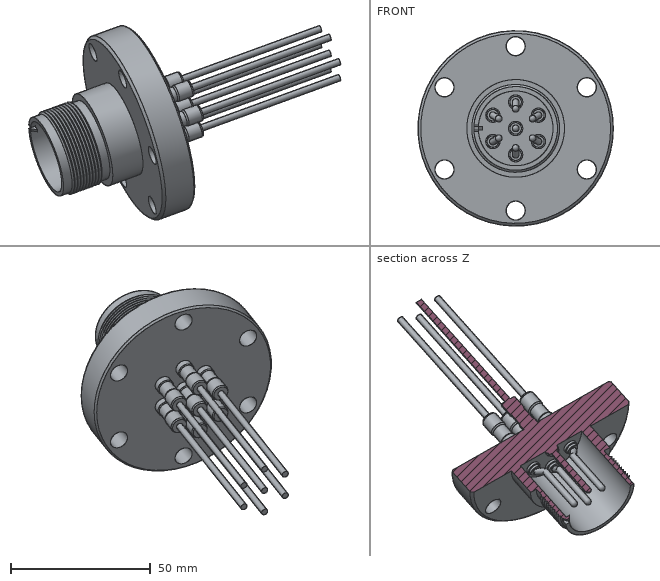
import cadquery as cq
import math


flange_diameter = 69.85
flange_thickness = 12.7
flange_front_chamfer = 1.0
flange_rear_chamfer = 0.7
bolt_circle_diameter = 58.72
bolt_hole_diameter = 6.7
bolt_hole_count = 6

overall_length = 111.51
collar_diameter = flange_diameter / 2
collar_length = 11.85
shell_diameter = 29.9
shell_length = 18.2
bore_diameter = 26.7

thread_diameter = 31.4
thread_pitch = 1.18
thread_ridge_count = 10
thread_end_gap = 3.35

slot_width = 2.3
slot_depth = 2.0
key_width = 1.2
key_inner_radius = 11.9
key_outer_radius = 14.85

outer_contact_count = 6
contact_circle_radius = 9.4
pin_tip_circle_radius = 7.0
pin_diameter = 2.4
pin_tip_recess = 6.2
pin_stub_length = 2.5
pin_bend_angle = 45

sleeve_radius = 3.05
sleeve_waist_radius = 2.75
sleeve_length = 14.1
sleeve_end_chamfer_length = 0.6
sleeve_end_chamfer_height = 0.3
waist_start = 2.4
waist_front_taper = 0.4
waist_end = 8.35
waist_rear_taper = 0.65
sleeve_front_radius = 2.55
sleeve_front_length = 1.0
sleeve_nose_radius = 2.05
sleeve_nose_length = 1.0

flange_front_y = -flange_thickness
collar_front_y = flange_front_y - collar_length
shell_front_y = collar_front_y - shell_length
bore_floor_y = flange_front_y
wire_end_y = shell_front_y + overall_length
pin_tip_y = shell_front_y + pin_tip_recess

pin_radius = pin_diameter / 2


def revolve_about_y(points):
    """Solid of revolution about the Y axis from (radius, y) points."""
    return cq.Workplane("XY").polyline(points).close().revolve(360, (0, 0, 0), (0, 1, 0))


def cylinder_along_y(diameter, start_y, end_y, x=0, z=0):
    """Cylinder parallel to Y, centred at (x, z)."""
    axis = cq.Vector(0, 1, 0)
    start = cq.Vector(x, start_y, z)
    return cq.Workplane(cq.Solid.makeCylinder(diameter / 2, end_y - start_y, start, axis))


def ring_positions(radius, count):
    """(x, z) positions evenly spaced on a circle, the first one straight up."""
    angles = [math.pi / 2 + 2 * math.pi * i / count for i in range(count)]
    return [(radius * math.cos(a), radius * math.sin(a)) for a in angles]


def make_flange():
    """Chamfered disc with its ring of bolt holes."""
    radius = flange_diameter / 2
    flange = revolve_about_y([
        (0, 0),
        (radius - flange_rear_chamfer, 0),
        (radius, -flange_rear_chamfer),
        (radius, flange_front_y + flange_front_chamfer),
        (radius - flange_front_chamfer, flange_front_y),
        (0, flange_front_y),
    ])
    for x, z in ring_positions(bolt_circle_diameter / 2, bolt_hole_count):
        flange = flange.cut(cylinder_along_y(bolt_hole_diameter, flange_front_y, 0, x, z))
    return flange


def make_shell():
    """Collar and threaded tube with the open bore."""
    collar_radius = collar_diameter / 2
    shell_radius = shell_diameter / 2
    bore_radius = bore_diameter / 2
    thread_front_y = shell_front_y + thread_end_gap

    profile = [(bore_radius, shell_front_y), (shell_radius, shell_front_y)]
    for i in range(thread_ridge_count):
        root_y = thread_front_y + i * thread_pitch
        profile.append((shell_radius, root_y))
        profile.append((thread_diameter / 2, root_y + thread_pitch / 2))
    profile += [
        (shell_radius, thread_front_y + thread_ridge_count * thread_pitch),
        (shell_radius, collar_front_y),
        (collar_radius, collar_front_y),
        (collar_radius, flange_front_y),
        (bore_radius, flange_front_y),
    ]
    return revolve_about_y(profile)


def cut_key_slot(shell):
    """Cut the key slot through the shell wall at the mouth."""
    wall_radius = shell_diameter / 2
    slot = cq.Workplane("XY").box(wall_radius, slot_depth, slot_width, centered=(False, False, True))
    return shell.cut(slot.translate((-wall_radius, shell_front_y, 0)))


def make_key():
    """Tent-shaped key whose crest lies at the bore wall."""
    base_y = shell_front_y + slot_depth
    return (
        cq.Workplane("XY")
        .moveTo(-key_outer_radius, base_y)
        .lineTo(-bore_diameter / 2, shell_front_y)
        .lineTo(-key_inner_radius, base_y)
        .close()
        .extrude(key_width / 2, both=True)
    )


def make_sleeve():
    """Stepped sleeve on the Y axis, passing through the flange."""
    shoulder_y = bore_floor_y - sleeve_front_length
    nose_y = shoulder_y - sleeve_nose_length
    return revolve_about_y([
        (0, nose_y),
        (sleeve_nose_radius, nose_y),
        (sleeve_nose_radius, shoulder_y),
        (sleeve_front_radius, shoulder_y),
        (sleeve_front_radius, 0),
        (sleeve_radius, 0),
        (sleeve_radius, waist_start),
        (sleeve_waist_radius, waist_start + waist_front_taper),
        (sleeve_waist_radius, waist_end - waist_rear_taper),
        (sleeve_radius, waist_end),
        (sleeve_radius, sleeve_length - sleeve_end_chamfer_length),
        (sleeve_radius - sleeve_end_chamfer_height, sleeve_length),
        (0, sleeve_length),
    ])


def make_contact(root_radius, tip_radius):
    """Sleeve, wire and pin; the pin steps inward from root_radius to tip_radius along -Z."""
    step = root_radius - tip_radius
    tip_center_y = pin_tip_y + pin_radius
    bend_start_y = bore_floor_y - pin_stub_length
    bend_end_y = bend_start_y - step / math.tan(math.radians(pin_bend_angle))
    path = cq.Workplane("YZ").moveTo(wire_end_y, 0).lineTo(bend_start_y, 0)
    if step > 0:
        path = path.lineTo(bend_end_y, -step)
    path = path.lineTo(tip_center_y, -step)
    rod = cq.Workplane("XZ", origin=(0, wire_end_y, 0)).circle(pin_radius).sweep(path, transition="right")
    tip = cq.Workplane("XY").sphere(pin_radius).translate((0, tip_center_y, -step))
    contact = make_sleeve().union(rod).union(tip)
    return contact.translate((0, 0, root_radius))


result = make_flange().union(cut_key_slot(make_shell())).union(make_key())
result = result.union(make_contact(0, 0))
outer_contact = make_contact(contact_circle_radius, pin_tip_circle_radius)
for i in range(outer_contact_count):
    angle = 360 * i / outer_contact_count
    result = result.union(outer_contact.rotate((0, 0, 0), (0, 1, 0), angle))